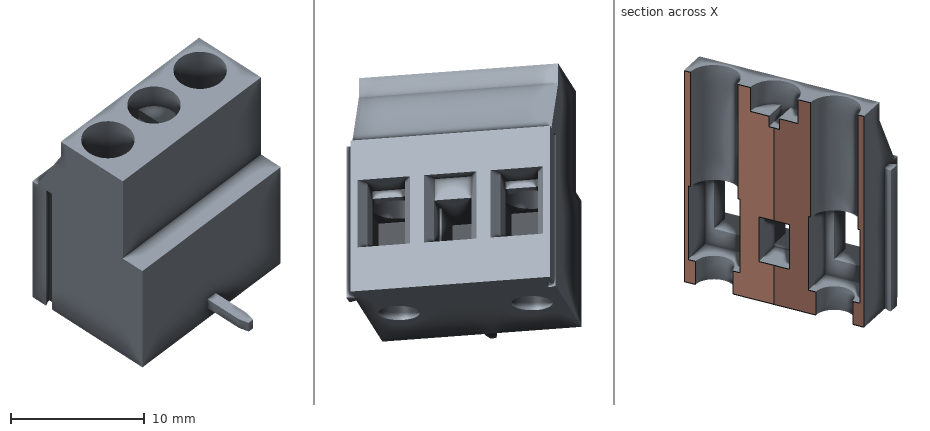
import cadquery as cq


HEIGHT = 18.0
BODY_LENGTH = 11.2
FRONT_HEIGHT = 12.0
FRONT_LEDGE = 0.5
SLOPE_TOP_X = 2.9
SLOPE_TOP_Z = 16.45
TOP_BACK_X = 9.2
BACK_STEP_Z = 9.99

DOVETAIL_X = 1.71
DOVETAIL_NECK = 0.61
DOVETAIL_HEAD = 1.0
DOVETAIL_HEIGHT = 0.6
DOVETAIL_RIM = 0.16

OVERALL_WIDTH = 15.84
WIDTH = OVERALL_WIDTH - DOVETAIL_HEIGHT

POLE_COUNT = 3
POLE_PITCH = WIDTH / POLE_COUNT
MIDDLE_Y = 0.0
OUTER_POLES_Y = [-POLE_PITCH, POLE_PITCH]

ENTRY_FLOOR_Z = 3.47
ENTRY_TOP_Z = 8.82
MOUTH_WIDTH = 4.0
THROAT_WIDTH = 2.88
FUNNEL_DEPTH = 0.85

BORE_X = 5.35
BORE_DIAMETER = 4.0
BASE_HOLE_DIAMETER = 3.1
CHAMBER_START_X = 2.65
CHAMBER_LENGTH = 2 * (BORE_X - CHAMBER_START_X)
CHAMBER_WIDTH = 4.32
CHAMBER_TOP_Z = 8.23
CHAMBER_FLOOR_Z = 2.0

SCREW_DEPTH = 2.03
SLOT_WIDTH = 0.83
SLOT_DEPTH = 0.9
CLAMP_PLATE_X = 1.0
CLAMP_PLATE_BOTTOM_Z = 7.13
CLAMP_X = 2.85
CLAMP_OPENING = 2.55
CLAMP_FLOOR_DROP = 0.1

PIN_SIZE = 0.9
PIN_TOP_Z = 2.0
PIN_LENGTH = 4.0
PIN_TAPER = 0.81
PIN_TIP_WIDTH = 0.49


def box(x_range, y_center, width, z_range):
    """Block between two X and two Z values, centred on y_center."""
    length = x_range[1] - x_range[0]
    height = z_range[1] - z_range[0]
    return (
        cq.Workplane("XY")
        .box(length, width, height, centered=(False, True, False))
        .translate((x_range[0], y_center, z_range[0]))
    )


def upright_cylinder(y_center, diameter, bottom_z, top_z):
    """Vertical cylinder on the screw axis of a pole, its seam turned away from the split plane."""
    plane = cq.Plane(origin=(BORE_X, y_center, bottom_z), xDir=(1, 1, 0), normal=(0, 0, 1))
    return cq.Workplane(plane).circle(diameter / 2).extrude(top_z - bottom_z)


def housing_block():
    """Stepped side profile extruded over the full width."""
    outline = [
        (0, 0),
        (BODY_LENGTH, 0),
        (BODY_LENGTH, BACK_STEP_Z),
        (TOP_BACK_X, BACK_STEP_Z),
        (TOP_BACK_X, HEIGHT),
        (SLOPE_TOP_X, HEIGHT),
        (SLOPE_TOP_X, SLOPE_TOP_Z),
        (FRONT_LEDGE, FRONT_HEIGHT),
        (0, FRONT_HEIGHT),
    ]
    return cq.Workplane("XZ").polyline(outline).close().extrude(WIDTH / 2, both=True)


def wire_funnel(y_center):
    """Tapered mouth of a wire entry."""
    outline = [
        (0, y_center - MOUTH_WIDTH / 2),
        (FUNNEL_DEPTH, y_center - THROAT_WIDTH / 2),
        (FUNNEL_DEPTH, y_center + THROAT_WIDTH / 2),
        (0, y_center + MOUTH_WIDTH / 2),
    ]
    return (
        cq.Workplane("XY", origin=(0, 0, ENTRY_FLOOR_Z))
        .polyline(outline)
        .close()
        .extrude(ENTRY_TOP_Z - ENTRY_FLOOR_Z)
    )


def cut_outer_pole(body, y_center):
    """Open pole: wire entry, clamp chamber, screw well and base hole."""
    chamber_end_x = CHAMBER_START_X + CHAMBER_LENGTH
    entry_z = (ENTRY_FLOOR_Z, ENTRY_TOP_Z)
    chamber_z = (CHAMBER_FLOOR_Z, CHAMBER_TOP_Z)
    throat = box((FUNNEL_DEPTH, CHAMBER_START_X), y_center, THROAT_WIDTH, entry_z)
    chamber = box((CHAMBER_START_X, chamber_end_x), y_center, CHAMBER_WIDTH, chamber_z)
    screw_well = upright_cylinder(y_center, BORE_DIAMETER, CHAMBER_TOP_Z, HEIGHT)
    base_hole = upright_cylinder(y_center, BASE_HOLE_DIAMETER, 0, CHAMBER_FLOOR_Z)
    for tool in (wire_funnel(y_center), throat, chamber, screw_well, base_hole):
        body = body.cut(tool)
    return body


def cut_middle_pole(body):
    """Fitted pole: wire entry ending at a clamp, and a slotted screw head."""
    entry_z = (ENTRY_FLOOR_Z, ENTRY_TOP_Z)
    below_plate_z = (ENTRY_FLOOR_Z, CLAMP_PLATE_BOTTOM_Z)
    opening_z = (ENTRY_FLOOR_Z - CLAMP_FLOOR_DROP, CLAMP_PLATE_BOTTOM_Z)
    opening_end_x = BORE_X + CLAMP_OPENING / 2
    plate_recess = box((FUNNEL_DEPTH, CLAMP_PLATE_X), MIDDLE_Y, THROAT_WIDTH, entry_z)
    throat = box((CLAMP_PLATE_X, CLAMP_X), MIDDLE_Y, THROAT_WIDTH, below_plate_z)
    opening = box((CLAMP_X, opening_end_x), MIDDLE_Y, CLAMP_OPENING, opening_z)
    for tool in (wire_funnel(MIDDLE_Y), plate_recess, throat, opening):
        body = body.cut(tool)

    screw_top_z = HEIGHT - SCREW_DEPTH
    slot_bottom_z = screw_top_z - SLOT_DEPTH
    screw_well = upright_cylinder(MIDDLE_Y, BORE_DIAMETER, screw_top_z, HEIGHT)
    slot_span = (BORE_X - BORE_DIAMETER / 2, BORE_X + BORE_DIAMETER / 2)
    slot = box(slot_span, MIDDLE_Y, SLOT_WIDTH, (slot_bottom_z, screw_top_z))
    slot = slot.intersect(upright_cylinder(MIDDLE_Y, BORE_DIAMETER, slot_bottom_z, screw_top_z))
    return body.cut(screw_well).cut(slot)


def solder_pin():
    """Square pin with a tapered tip."""
    tip_x = BODY_LENGTH + PIN_LENGTH
    taper_x = tip_x - PIN_TAPER
    outline = [
        (BODY_LENGTH, -PIN_SIZE / 2),
        (taper_x, -PIN_SIZE / 2),
        (tip_x, -PIN_TIP_WIDTH / 2),
        (tip_x, PIN_TIP_WIDTH / 2),
        (taper_x, PIN_SIZE / 2),
        (BODY_LENGTH, PIN_SIZE / 2),
    ]
    return (
        cq.Workplane("XY", origin=(0, 0, PIN_TOP_Z - PIN_SIZE))
        .polyline(outline)
        .close()
        .extrude(PIN_SIZE)
    )


def dovetail(side_y):
    """Dovetail rail that rises toward +Y from the plane Y = side_y."""
    rim_y = side_y + DOVETAIL_HEIGHT - DOVETAIL_RIM
    head_y = side_y + DOVETAIL_HEIGHT
    outline = [
        (DOVETAIL_X - DOVETAIL_NECK / 2, side_y),
        (DOVETAIL_X - DOVETAIL_HEAD / 2, rim_y),
        (DOVETAIL_X - DOVETAIL_HEAD / 2, head_y),
        (DOVETAIL_X + DOVETAIL_HEAD / 2, head_y),
        (DOVETAIL_X + DOVETAIL_HEAD / 2, rim_y),
        (DOVETAIL_X + DOVETAIL_NECK / 2, side_y),
    ]
    return cq.Workplane("XY").polyline(outline).close().extrude(FRONT_HEIGHT)


def whole_block():
    """Both halves in one piece, before the split and the dovetails."""
    body = housing_block()
    for pole_y in OUTER_POLES_Y:
        body = cut_outer_pole(body, pole_y)
    return cut_middle_pole(body).union(solder_pin())


def half_space(direction):
    """Box over the half of the block on the -Y (-1) or +Y (+1) side."""
    x_range = (0, BODY_LENGTH + PIN_LENGTH)
    return box(x_range, direction * WIDTH / 4, WIDTH / 2, (0, HEIGHT))


def grooved_half():
    """Half on the -Y side, with the dovetail groove in its outer face."""
    return whole_block().intersect(half_space(-1)).cut(dovetail(-WIDTH / 2))


def tongued_half():
    """Half on the +Y side, with the dovetail tongue on its outer face."""
    return whole_block().intersect(half_space(1)).union(dovetail(WIDTH / 2))


near_half = grooved_half()
far_half = tongued_half()
result = cq.Compound.makeCompound([near_half.solids().val(), far_half.solids().val()])